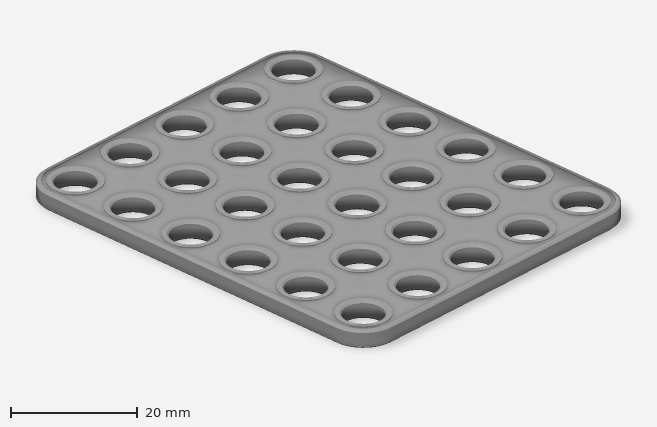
import cadquery as cq

columns = 6
rows = 5
pitch = 75 / columns
length = columns * pitch
width = rows * pitch
thickness = pitch / 4
corner_radius = pitch / 2

hole_diameter = 7.0
chamfer = 0.3

ring_diameter = 9.2
rim_width = 0.8
recess_depth = 0.2


def rounded_plate(inset, height):
    """Plate standing on Z = 0, its rounded outline drawn in by the inset on all sides."""
    return (
        cq.Workplane("XY")
        .box(length - 2 * inset, width - 2 * inset, height, centered=(True, True, False))
        .edges("|Z")
        .fillet(corner_radius - inset)
    )


def grid_of_discs(diameter, height):
    """One disc standing on Z = 0 at every hole position."""
    return (
        cq.Workplane("XY")
        .rarray(pitch, pitch, columns, rows)
        .circle(diameter / 2)
        .extrude(height)
    )


plate = rounded_plate(0, thickness).cut(grid_of_discs(hole_diameter, thickness))
plate = plate.faces("<Z or >Z").edges().chamfer(chamfer)

recess = rounded_plate(rim_width, recess_depth).cut(grid_of_discs(ring_diameter, recess_depth))

result = plate.cut(recess.translate((0, 0, thickness - recess_depth)))